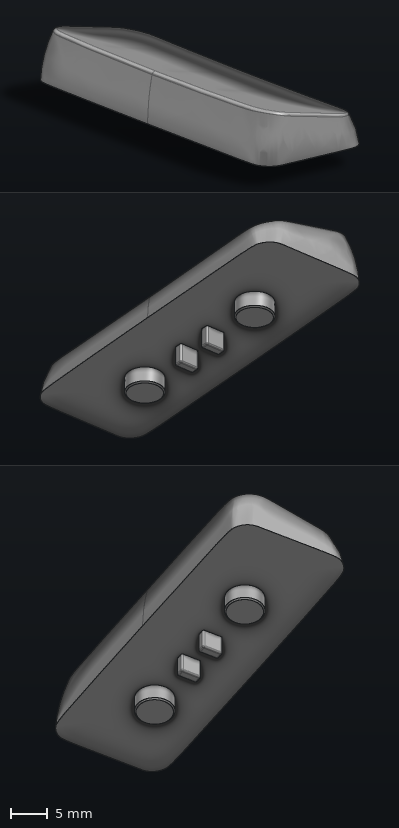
import cadquery as cq
import math

length = 51.35
width = 18.0
base_bulge = 0.3
base_corner = 2.55

top_tilt = 12.3
top_height = 5.6
dish_depth = 0.35
top_fillet = 0.5

end_inset = 0.85
front_inset = 1.0
back_inset = 0.45
top_bulge = 0.45
top_corner = 3.85
bow_power = 4
side_steps = 5
corner_steps = 6
belly = 0.3

boss_diameter = 5.5
boss_spacing = 24.0
boss_length = 2.45
boss_chamfer = 0.2

prong_spacing = 5.7
prong_thickness = 1.35
prong_width = 3.1
prong_length = 3.0
prong_fillet = 0.25

blank_height = top_height + dish_depth
top_slope = math.tan(math.radians(top_tilt))


def outline(plane, size_x, size_y, bulge, corner):
    """Smooth rounded rectangle with bowed sides, as a wire on the given plane."""
    half_x = size_x / 2
    half_y = size_y / 2
    flat_x = half_x - bulge - corner
    flat_y = half_y - bulge - corner

    def bowed(x, y):
        """Push a rounded-rectangle point outward, most at the middle of each side."""
        push_x = bulge * (1 - (y / half_y) ** bow_power)
        push_y = bulge * (1 - (x / half_x) ** bow_power)
        return x * (1 + push_x / (half_x - bulge)), y * (1 + push_y / (half_y - bulge))

    quarter = [(flat_x * i / side_steps, -flat_y - corner) for i in range(1, side_steps)]
    for i in range(corner_steps + 1):
        angle = math.pi / 2 * i / corner_steps
        quarter.append((flat_x + corner * math.sin(angle), -flat_y - corner * math.cos(angle)))
    quarter += [(flat_x + corner, -flat_y * (1 - i / side_steps)) for i in range(1, side_steps)]
    mirrored = [(x, -y) for x, y in reversed(quarter)]
    right = [bowed(x, y) for x, y in [*quarter, (flat_x + corner, 0), *mirrored]]
    left = [(-x, -y) for x, y in right]
    front_middle = (0, -half_y)
    back_middle = (0, half_y)
    along_front = (1, 0)
    along_back = (-1, 0)
    smooth = (
        cq.Workplane(plane)
        .moveTo(*front_middle)
        .spline([*right, back_middle], tangents=[along_front, along_back], includeCurrent=True)
        .spline([*left, front_middle], tangents=[along_back, along_front], includeCurrent=True)
    )
    return cq.Wire.assembleEdges(smooth.ctx.pendingEdges)


def wall_section(height_share, inset_share):
    """Wall outline part of the way from the flat base to the tilted top."""
    slope = top_slope * height_share
    tilt = math.atan(slope)
    shift = (front_inset - back_inset) / 2 * inset_share
    plane = cq.Plane(
        origin=(0, shift, blank_height * height_share - slope * shift),
        xDir=(1, 0, 0),
        normal=(0, math.sin(tilt), math.cos(tilt)),
    )
    return outline(
        plane,
        length - 2 * end_inset * inset_share,
        (width - (front_inset + back_inset) * inset_share) / math.cos(tilt),
        base_bulge + (top_bulge - base_bulge) * inset_share,
        base_corner + (top_corner - base_corner) * inset_share,
    )


def make_body():
    sections = [wall_section(0, 0), wall_section(0.5, belly), wall_section(1, 1)]
    body = cq.Workplane(cq.Solid.makeLoft(sections))

    tilt = math.radians(top_tilt)
    trough_plane = cq.Plane(
        origin=(0, 0, top_height),
        xDir=(1, 0, 0),
        normal=(0, -math.cos(tilt), math.sin(tilt)),
    )
    half = length / 2
    trough = (
        cq.Workplane(trough_plane)
        .moveTo(-half, dish_depth)
        .threePointArc((0, 0), (half, dish_depth))
        .lineTo(half, width)
        .lineTo(-half, width)
        .close()
        .extrude(width, both=True)
    )
    body = body.cut(trough)
    return body.faces(">Z").edges().fillet(top_fillet)


def make_boss(x):
    return (
        cq.Workplane("XY")
        .center(x, 0)
        .circle(boss_diameter / 2)
        .extrude(-boss_length)
        .faces("<Z")
        .chamfer(boss_chamfer)
    )


def make_prong(x):
    return (
        cq.Workplane("XY")
        .center(x, 0)
        .rect(prong_thickness, prong_width)
        .extrude(-prong_length)
        .edges("|Z or <Z")
        .fillet(prong_fillet)
    )


result = make_body()
for side in (-1, 1):
    result = result.union(make_boss(side * boss_spacing / 2))
    result = result.union(make_prong(side * prong_spacing / 2))